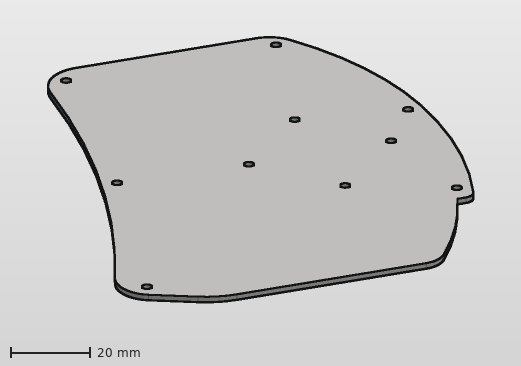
import cadquery as cq
import math

LENGTH = 129.55
WIDTH = 105.69
THICKNESS = 1.6
HOLE_DIAMETER = 2.5

LEFT = -LENGTH / 2
RIGHT = LENGTH / 2
BACK = WIDTH / 2

CREST_ARC_X = 0.05
CREST_ARC_RADIUS = 118.5
CREST_ARC_Y = BACK - CREST_ARC_RADIUS
SHOULDER_ARC_X = 5.3
SHOULDER_ARC_Y = -51.2
SHOULDER_ARC_RADIUS = 98.9
BOTTOM_ARC_X = -53.4
BOTTOM_ARC_Y = -311.3
BOTTOM_ARC_RADIUS = 277.4

FLANK_ARC_RADIUS = 92.0
FLANK_JOIN_X = -17.0

STEP_X = 34.45
SLANT_TOP_Y = -31.4
SLANT_END_X = 53.9

TOP_LEFT_RADIUS = 9.75
BOTTOM_LEFT_RADIUS = 10.45
STEP_RADIUS = 2.75
SHOULDER_RADIUS = 7.0
SLANT_TOP_RADIUS = 23.5
TIP_RADIUS = 9.3

SQUARE_CENTRE = (-0.85, 19.15)
SQUARE_HALF_DIAGONAL = 19.0
RIM_HOLES = [
    (-59.7, 28.3),
    (-15.5, 47.9),
    (28.7, 45.2),
    (-59.1, -28.0),
    (-2.4, -34.5),
    (53.3, -46.3),
]


def point_on_arc(centre_x, centre_y, radius, x):
    """Point at x on the upper half of a circle."""
    return (x, centre_y + math.sqrt(radius**2 - (x - centre_x) ** 2))


def crest_arc(x):
    return point_on_arc(CREST_ARC_X, CREST_ARC_Y, CREST_ARC_RADIUS, x)


def flank_arc(x):
    join_x, join_y = crest_arc(FLANK_JOIN_X)
    share = FLANK_ARC_RADIUS / CREST_ARC_RADIUS
    centre_x = join_x + (CREST_ARC_X - join_x) * share
    centre_y = join_y + (CREST_ARC_Y - join_y) * share
    return point_on_arc(centre_x, centre_y, FLANK_ARC_RADIUS, x)


def shoulder_arc(x):
    return point_on_arc(SHOULDER_ARC_X, SHOULDER_ARC_Y, SHOULDER_ARC_RADIUS, x)


def bottom_arc(x):
    return point_on_arc(BOTTOM_ARC_X, BOTTOM_ARC_Y, BOTTOM_ARC_RADIUS, x)


def make_plate():
    """Plate with sharp corners, then one fillet per corner."""
    top_left = flank_arc(LEFT)
    crest_start = crest_arc(FLANK_JOIN_X)
    step_top = crest_arc(STEP_X)
    step_bottom = shoulder_arc(STEP_X)
    shoulder = shoulder_arc(RIGHT)
    slant_top = (RIGHT, SLANT_TOP_Y)
    tip = bottom_arc(SLANT_END_X)
    bottom_left = bottom_arc(LEFT)

    plate = (
        cq.Workplane("XY")
        .moveTo(*top_left)
        .threePointArc(flank_arc((LEFT + FLANK_JOIN_X) / 2), crest_start)
        .threePointArc(crest_arc((FLANK_JOIN_X + STEP_X) / 2), step_top)
        .lineTo(*step_bottom)
        .threePointArc(shoulder_arc((STEP_X + RIGHT) / 2), shoulder)
        .lineTo(*slant_top)
        .lineTo(*tip)
        .threePointArc(bottom_arc((LEFT + SLANT_END_X) / 2), bottom_left)
        .close()
        .extrude(THICKNESS)
    )
    corners = [
        (top_left, TOP_LEFT_RADIUS),
        (step_top, STEP_RADIUS),
        (shoulder, SHOULDER_RADIUS),
        (slant_top, SLANT_TOP_RADIUS),
        (tip, TIP_RADIUS),
        (bottom_left, BOTTOM_LEFT_RADIUS),
    ]
    for (x, y), radius in corners:
        corner_edge = cq.NearestToPointSelector((x, y, THICKNESS / 2))
        plate = plate.edges("|Z").edges(corner_edge).fillet(radius)
    return plate


def square_holes():
    """Four holes on a square whose diagonals run along X and Y."""
    x, y = SQUARE_CENTRE
    reach = SQUARE_HALF_DIAGONAL
    return [(x + reach, y), (x, y + reach), (x - reach, y), (x, y - reach)]


def drill(plate):
    """Through holes for the rim and the square."""
    centres = RIM_HOLES + square_holes()
    drills = cq.Workplane("XY").pushPoints(centres).circle(HOLE_DIAMETER / 2).extrude(THICKNESS)
    return plate.cut(drills)


result = drill(make_plate())